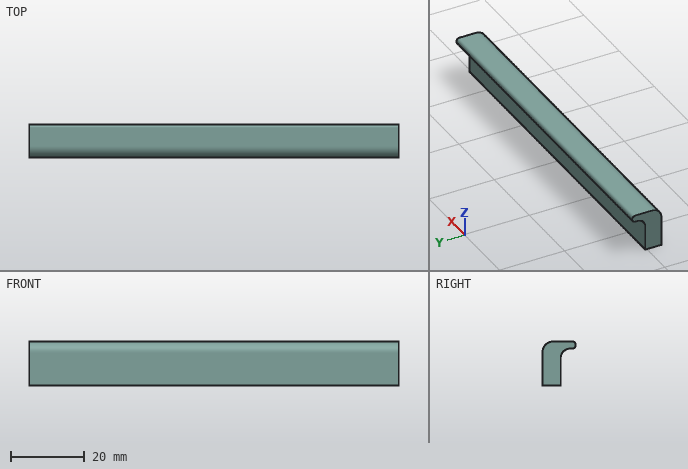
import cadquery as cq

length = 100.0
depth = 9.0
height = 12.0
web_thickness = 5.0
lip_thickness = 2.0
outer_radius = 3.0
inner_radius = 2.5
lip_edge_radius = 0.9

front_y = -depth / 2
lip_end_y = depth / 2
web_back_y = front_y + web_thickness
lip_bottom_z = height - lip_thickness


def angle_section():
    """Sharp-cornered L section in the YZ plane, extruded along X."""
    return (
        cq.Workplane("YZ", origin=(-length / 2, 0, 0))
        .moveTo(front_y, 0)
        .lineTo(web_back_y, 0)
        .lineTo(web_back_y, lip_bottom_z)
        .lineTo(lip_end_y, lip_bottom_z)
        .lineTo(lip_end_y, height)
        .lineTo(front_y, height)
        .close()
        .extrude(length)
    )


def round_long_edge(body, y, z, radius):
    """Fillet the edge that runs along X through the given Y and Z."""
    edge = cq.selectors.NearestToPointSelector((0, y, z))
    return body.edges("|X").edges(edge).fillet(radius)


result = angle_section()
result = round_long_edge(result, front_y, height, outer_radius)
result = round_long_edge(result, web_back_y, lip_bottom_z, inner_radius)
for lip_edge_z in (lip_bottom_z, height):
    result = round_long_edge(result, lip_end_y, lip_edge_z, lip_edge_radius)